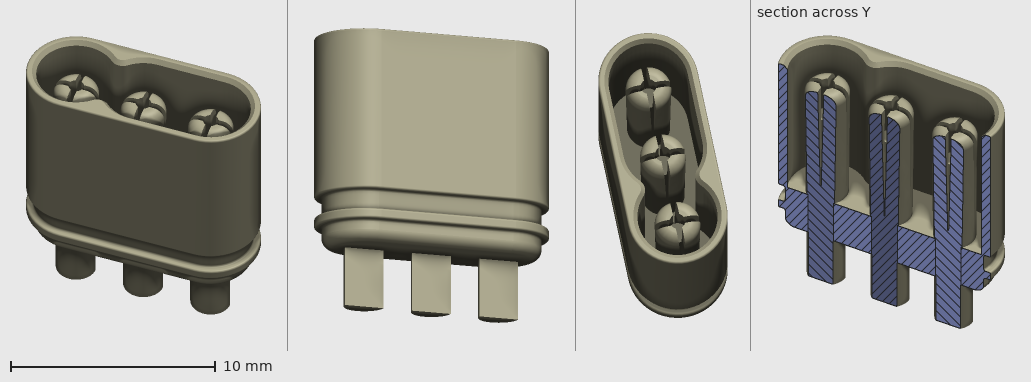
import cadquery as cq


TOTAL_HEIGHT = 13.4
PITCH = 3.5
PIN_XS = (-PITCH, 0, PITCH)

OUTER_RADIUS = 2.45
NECK_RADIUS = 2.09
RING_BOTTOM = 1.0
RING_TOP = 1.5
SHELL_BOTTOM = 2.5
HOUSING_TOP = 10.5
BOTTOM_FILLET = 0.51
EDGE_FILLET = 0.1

CAVITY_RADIUS = 1.95
CAVITY_FLOOR = SHELL_BOTTOM
WAIST_FILLET = 0.6
MOUTH_CHAMFER = 0.2

TAIL_RADIUS = 1.0
TAIL_BOTTOM = HOUSING_TOP - TOTAL_HEIGHT

BARREL_TOP_RADIUS = 1.13
BARREL_BOTTOM_RADIUS = 1.06
BARREL_TOP = 9.5
CROWN_FILLET = 0.55
BORE_TOP_RADIUS = 0.38
BORE_BOTTOM_RADIUS = 0.5
BORE_FLOOR = 7.49
SLOT_WIDTH = 0.31
SLOT_DEPTH = 6.7

MARGIN = 0.03


def stadium(radius, bottom, top):
    """Upright stadium block whose end arcs are centred on the two outer pins."""
    length = 2 * (PITCH + radius)
    return cq.Workplane("XY", origin=(0, 0, bottom)).slot2D(length, 2 * radius).extrude(top - bottom)


def cone(bottom_radius, top_radius, bottom, top):
    """Upright tapered cylinder on the Z axis."""
    solid = cq.Solid.makeCone(bottom_radius, top_radius, top - bottom, pnt=cq.Vector(0, 0, bottom))
    return cq.Workplane(solid)


def edges_at(body, height, half_length, half_width):
    """Edges at the given height that lie wholly within a rectangle about the Z axis."""
    low_corner = (-half_length - MARGIN, -half_width - MARGIN, height - MARGIN)
    high_corner = (half_length + MARGIN, half_width + MARGIN, height + MARGIN)
    return body.edges(cq.selectors.BoxSelector(low_corner, high_corner, boundingbox=True))


def make_cavity():
    """Cavity: a round well at the first pin and a stadium around the other two, with a rounded waist."""
    height = HOUSING_TOP - CAVITY_FLOOR
    floor = cq.Workplane("XY", origin=(0, 0, CAVITY_FLOOR))
    round_well = floor.center(-PITCH, 0).circle(CAVITY_RADIUS).extrude(height)
    long_well = floor.center(PITCH / 2, 0).slot2D(PITCH + 2 * CAVITY_RADIUS, 2 * CAVITY_RADIUS).extrude(height)
    waist_edges = cq.selectors.BoxSelector(
        (-PITCH / 2 - MARGIN, -CAVITY_RADIUS, CAVITY_FLOOR),
        (-PITCH / 2 + MARGIN, CAVITY_RADIUS, HOUSING_TOP),
    )
    return round_well.union(long_well).edges(waist_edges).fillet(WAIST_FILLET)


def make_tail(top):
    """Half-round rod at the origin, on the -Y side, from the pin's end up to the given height."""
    return (
        cq.Workplane("XY", origin=(0, 0, TAIL_BOTTOM))
        .moveTo(-TAIL_RADIUS, 0)
        .threePointArc((0, -TAIL_RADIUS), (TAIL_RADIUS, 0))
        .close()
        .extrude(top - TAIL_BOTTOM)
    )


def make_housing():
    body = stadium(NECK_RADIUS, 0, SHELL_BOTTOM)
    body = body.union(stadium(OUTER_RADIUS, RING_BOTTOM, RING_TOP))
    body = body.union(stadium(OUTER_RADIUS, SHELL_BOTTOM, HOUSING_TOP))
    body = body.faces("<Z").edges().fillet(BOTTOM_FILLET)
    for height in (RING_BOTTOM, RING_TOP, SHELL_BOTTOM, HOUSING_TOP):
        body = edges_at(body, height, PITCH + OUTER_RADIUS, OUTER_RADIUS).fillet(EDGE_FILLET)

    body = body.cut(make_cavity())
    mouth_edges = edges_at(body, HOUSING_TOP, PITCH + CAVITY_RADIUS, CAVITY_RADIUS)
    body = mouth_edges.chamfer(MOUTH_CHAMFER)

    for x in PIN_XS:
        body = body.cut(make_tail(CAVITY_FLOOR).translate((x, 0, 0)))
    return body


def make_bore():
    """Bore between the fingers, widening downward to a flat floor."""
    return cone(BORE_BOTTOM_RADIUS, BORE_TOP_RADIUS, BORE_FLOOR, BARREL_TOP)


def make_slots():
    """Two crossed V-shaped slots that stop at a round core below the bore."""
    wedge = (
        cq.Workplane("XZ", origin=(0, BARREL_TOP_RADIUS, 0))
        .moveTo(-SLOT_WIDTH / 2, BARREL_TOP)
        .lineTo(SLOT_WIDTH / 2, BARREL_TOP)
        .lineTo(0, BARREL_TOP - SLOT_DEPTH)
        .close()
        .extrude(2 * BARREL_TOP_RADIUS)
    )
    core_floor = cq.Workplane("XY", origin=(0, 0, CAVITY_FLOOR))
    core = core_floor.circle(BORE_BOTTOM_RADIUS).extrude(BORE_FLOOR - CAVITY_FLOOR)
    return wedge.union(wedge.rotate((0, 0, 0), (0, 0, 1), 90)).cut(core)


def make_pin():
    barrel = cone(BARREL_BOTTOM_RADIUS, BARREL_TOP_RADIUS, CAVITY_FLOOR, BARREL_TOP)
    barrel = barrel.faces(">Z").edges().fillet(CROWN_FILLET)
    return barrel.cut(make_bore()).cut(make_slots()).union(make_tail(CAVITY_FLOOR))


housing = make_housing()
pin = make_pin()
pins = [pin.translate((x, 0, 0)) for x in PIN_XS]

result = cq.Compound.makeCompound([housing.val(), *[p.val() for p in pins]])